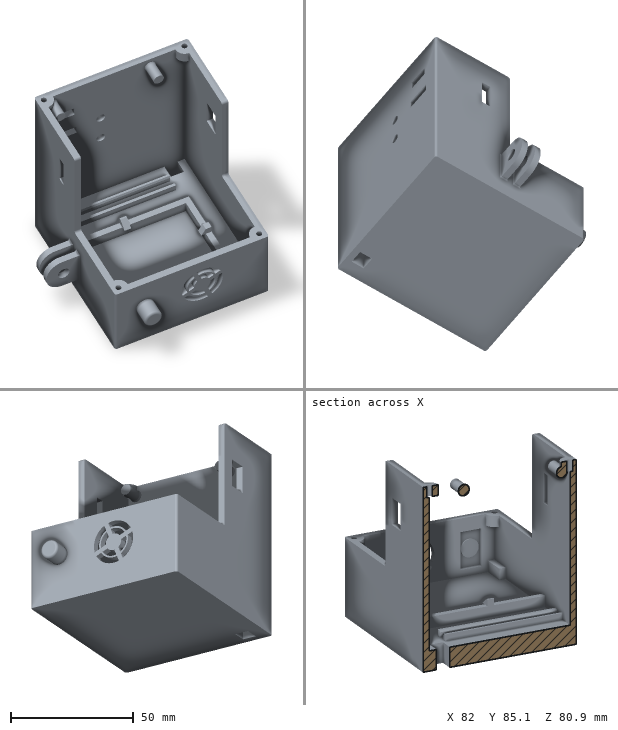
import cadquery as cq

length = 74.0
depth = 70.0
height = 80.9
step_height = 34.6
step_x = length / 2
wall = 3.0
floor = 9.0
edge_radius = 1.0
eps = 0.85

inner_right = length - wall
inner_back = depth - wall

boss_radius = 4.2
boss_height = 4.85
screw_diameter = 2.5

led_diameter = 4.0
led_y = 28.9
led_heights = (43.0, 55.5)
port_boxes = ((8.1, 17.1, 64.1, 68.1), (6.7, 18.0, 52.1, 55.8))
front_slot_x = (23.1, 27.15)
front_slot_z = (54.1, 67.3)
back_slot_x = (23.1, 31.4)
back_slot_z = (54.8, 66.6)
floor_hole = 5.95
floor_hole_y = 57.9

peg_diameter = 4.6
peg_tip_x = 10.9
peg_y = (6.6, 51.4)
peg_z = 76.4
peg_flare = 0.25
peg_flare_length = 0.9
rails_x = ((9.5, peg_tip_x), (14.5, 16.2))
rail_back = 56.6
rail_height = 3.0
rail_chamfer_width = 0.4
rail_chamfer_height = 0.85

fence_x = 25.3
fence_back = 57.9
fence_thickness = 2.6
fence_height = 5.0
clip_width = 3.0
clip_height = 3.0
clip_overhang = 2.0
side_clip_crest = 0.8
side_clip_y = 27.8
back_clip_x = 44.6
block_x = 60.85
block_depth = 3.0

lug_thickness = 2.8
lug_x = (33.9, 40.25)
lug_z = 17.6
lug_reach = 15.1
lug_height = 15.0
lug_radius = 7.1
lug_hole_diameter = 5.3
lug_hole_reach = 7.2
lug_flare = 0.5

knob_diameter = 8.0
knob_reach = 8.0
knob_y = 13.6
knob_z = 20.4
pocket_width = 9.5
pocket_height = 16.5
pocket_depth = 1.8

vent_y = 39.65
vent_z = 20.3
vent_slot_radii = (9.4, 6.1)
vent_slot_width = 2.5
spoke_width = 2.0
spoke_angles = (22, 112)


def box(x0, x1, y0, y1, z0, z1):
    """Axis-aligned box between two opposite corners."""
    return cq.Workplane("XY").box(x1 - x0, y1 - y0, z1 - z0, centered=False).translate((x0, y0, z0))


def x_cylinder(diameter, x0, x1, y, z):
    """Cylinder along X from x0 to x1."""
    return cq.Workplane("YZ", origin=(x0, y, z)).circle(diameter / 2).extrude(x1 - x0)


def make_shell():
    """Stepped open-top box with rounded vertical edges and rounded step edges."""
    profile = [
        (0, 0), (length, 0), (length, step_height),
        (step_x, step_height), (step_x, height), (0, height),
    ]
    body = cq.Workplane("XZ").polyline(profile).close().extrude(-depth)
    body = body.edges("|Z").edges("<X or >X").fillet(edge_radius)
    step_edges = cq.selectors.BoxSelector(
        (step_x - eps, -eps, step_height - eps), (step_x + eps, depth + eps, height + eps)
    )
    body = body.edges("|Y").edges(step_edges).fillet(edge_radius)
    return body.cut(box(wall, inner_right, wall, inner_back, floor, height + eps))


def make_bosses():
    """Round bosses under the rim at the inner corners, trimmed to the housing."""
    bosses = cq.Workplane("XY")
    for x, rim in ((wall, height), (inner_right, step_height)):
        for y in (wall, inner_back):
            boss = cq.Workplane("XY", origin=(x, y, rim)).circle(boss_radius).extrude(-boss_height)
            bosses = bosses.add(boss)
    outline = box(0, length, 0, depth, 0, height).edges("|Z").fillet(edge_radius)
    return bosses.combine().intersect(outline)


def make_screw_holes():
    """Blind screw holes down from the rim, as deep as the bosses."""
    holes = cq.Workplane("XY")
    for x, rim in ((wall, height), (inner_right, step_height)):
        for y in (wall, inner_back):
            hole = cq.Workplane("XY", origin=(x, y, rim)).circle(screw_diameter / 2).extrude(-boss_height)
            holes = holes.add(hole)
    return holes.combine()


def make_openings():
    """Holes and slots through the -X, front and back walls and the floor."""
    cuts = box(wall, wall + floor_hole, floor_hole_y, floor_hole_y + floor_hole, -eps, floor + eps)
    for z in led_heights:
        cuts = cuts.union(x_cylinder(led_diameter, -eps, wall + eps, led_y, z))
    for y0, y1, z0, z1 in port_boxes:
        cuts = cuts.union(box(-eps, wall + eps, y0, y1, z0, z1))
    cuts = cuts.union(box(*front_slot_x, -eps, wall + eps, *front_slot_z))
    return cuts.union(box(*back_slot_x, inner_back - eps, depth + eps, *back_slot_z))


def make_peg(y):
    """Peg standing on the -X wall, flared where it meets the wall."""
    radius = peg_diameter / 2
    outline = [
        (0, 0), (0, radius + peg_flare), (wall, radius + peg_flare),
        (wall + peg_flare_length, radius), (peg_tip_x, radius), (peg_tip_x, 0),
    ]
    peg = cq.Workplane("XY").polyline(outline).close().revolve(360, (0, 0, 0), (1, 0, 0))
    return peg.translate((0, y, peg_z))


def make_rails():
    """Two low floor rails, chamfered along the edges that face each other."""
    top = floor + rail_height
    left_rail = box(*rails_x[0], wall, rail_back, floor, top)
    left_rail = left_rail.faces(">Z").edges(">X").chamfer(rail_chamfer_height, rail_chamfer_width)
    right_rail = box(*rails_x[1], wall, rail_back, floor, top)
    right_rail = right_rail.faces(">Z").edges("<X").chamfer(rail_chamfer_height, rail_chamfer_width)
    return left_rail.union(right_rail)


def make_clip(crest):
    """Hook facing +X, flat on top up to the crest and sloping down to its tip."""
    outline = [(0, 0), (fence_thickness + clip_overhang, 0), (crest, clip_height), (0, clip_height)]
    return cq.Workplane("XZ").polyline(outline).close().extrude(clip_width / 2, both=True)


def make_fence():
    """L-shaped battery fence, its two clips and the block in the front corner."""
    top = floor + fence_height
    fence = box(fence_x, inner_right, wall, fence_back, floor, top)
    fence = fence.cut(
        box(fence_x + fence_thickness, length, 0, fence_back - fence_thickness, floor, top)
    )
    side_clip = make_clip(side_clip_crest).translate((fence_x, side_clip_y, top))
    back_clip = make_clip(fence_thickness).rotate((0, 0, 0), (0, 0, 1), -90)
    back_clip = back_clip.translate((back_clip_x, fence_back, top))
    block = box(block_x, inner_right, wall, wall + block_depth, floor, top)
    return fence.union(side_clip).union(back_clip).union(block)


def make_lug(x):
    """Rounded hinge plate on the front wall with a flared root and a cross hole."""
    x0 = x - lug_thickness / 2
    z0 = lug_z - lug_height / 2
    lug = box(x0, x0 + lug_thickness, -lug_reach, wall, z0, z0 + lug_height)
    lug = lug.edges("|X and <Y").fillet(lug_radius)
    lug = lug.cut(x_cylinder(lug_hole_diameter, x0 - eps, x + lug_thickness, -lug_hole_reach, lug_z))
    root = (
        cq.Workplane("XZ", origin=(x, 0, lug_z))
        .rect(lug_thickness + 2 * lug_flare, lug_height + 2 * lug_flare)
        .workplane(offset=lug_flare)
        .rect(lug_thickness, lug_height)
        .loft()
    )
    return lug.union(root)


def make_knob():
    """Round knob on the +X wall with a rounded tip."""
    knob = x_cylinder(knob_diameter, length - pocket_depth, length + knob_reach, knob_y, knob_z)
    return knob.faces(">X").edges().fillet(edge_radius)


def make_knob_pocket():
    """Shallow pocket in the inner face of the +X wall, centred on the knob."""
    return box(
        inner_right - eps, inner_right + pocket_depth,
        knob_y - pocket_width / 2, knob_y + pocket_width / 2,
        knob_z - pocket_height / 2, knob_z + pocket_height / 2,
    )


def make_vent():
    """Cutter for the ring slots of the grille, leaving the spokes."""
    slots = cq.Workplane("XY")
    for radius in vent_slot_radii:
        ring = cq.Workplane("YZ", origin=(inner_right - eps, 0, 0))
        ring = ring.circle(radius).circle(radius - vent_slot_width).extrude(wall + 2 * eps)
        slots = slots.add(ring)
    slots = slots.combine()
    for angle in spoke_angles:
        spoke = box(0, length + wall, -length, length, -spoke_width / 2, spoke_width / 2)
        slots = slots.cut(spoke.rotate((0, 0, 0), (1, 0, 0), angle))
    return slots.translate((0, vent_y, vent_z))


result = make_shell().union(make_bosses()).union(make_fence()).union(make_rails())
for y in peg_y:
    result = result.union(make_peg(y))
for x in lug_x:
    result = result.union(make_lug(x))
result = result.cut(make_knob_pocket()).union(make_knob())
result = result.cut(make_openings()).cut(make_screw_holes()).cut(make_vent())